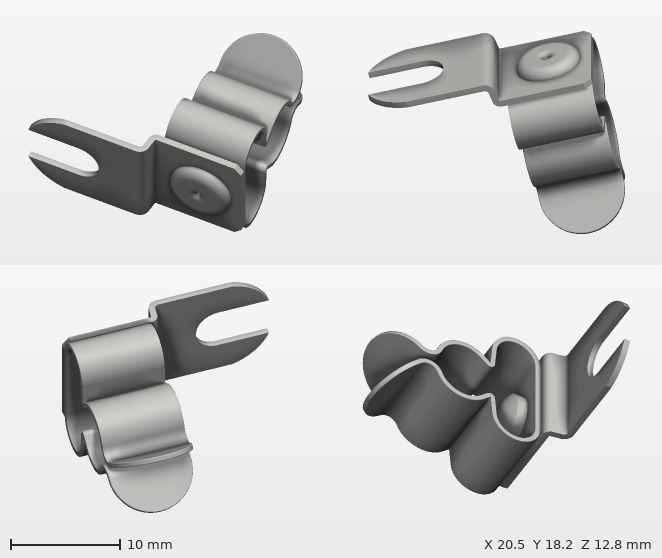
import cadquery as cq
import math


rivet_radius = 2.5
rivet_head_radius = 3.0
rivet_head_height = 1.0
rivet_dimple_radius = 1.0
rivet_tail_length = 1.03
rivet_dome_height = 0.86

lug_thickness = 0.6
lug_width = 10.0
lug_length = 20.52
lug_end_x = 4.0
lug_corner_chamfer = 0.7
lug_offset = 2.52
upper_bend_x = -4.51
upper_bend_inner_radius = 0.15
lower_bend_inner_radius = 0.37
web_angle = 82.0

slot_width = 4.17
slot_end_x = -9.44
fork_tip_radius = 5.1

clip_thickness = 0.5
clip_width = 7.98
clip_center_x = -0.02
clip_height = 12.8
clip_depth = 15.68
loop_radius = 2.5
kink_y = 5.17
kink_z = 2.18
grip_radius = 3.0
grip_y = 7.84
grip_top_z = 3.5
throat_bend_radius = 1.03
throat_gap = 0.78
tip_slope = 38.7
clip_edge_fillet = 0.08

rivet_dimple_depth = rivet_dimple_radius
lug_start_x = lug_end_x - lug_length


def polar(center, radius, degrees):
    """Point at the given radius and angle around a center."""
    angle = math.radians(degrees)
    return (center[0] + radius * math.cos(angle), center[1] + radius * math.sin(angle))


def arc_points(center, radius, start, end):
    """Middle and end points of an arc between two angles."""
    return polar(center, radius, (start + end) / 2), polar(center, radius, end)


def tangent_angle(point, center, radius, side):
    """Angle, around the circle's center, where a tangent from the point touches it."""
    dx = point[0] - center[0]
    dy = point[1] - center[1]
    spread = math.degrees(math.acos(radius / math.hypot(dx, dy)))
    return math.degrees(math.atan2(dy, dx)) + side * spread


def make_rivet():
    head_base = -lug_thickness
    head_face = head_base - rivet_head_height
    rim_center = (rivet_head_radius - rivet_head_height, head_base)
    dimple_center = (rivet_dimple_radius, head_face + rivet_dimple_depth)
    tail_end = clip_thickness + rivet_tail_length
    dome_top = tail_end + rivet_dome_height
    dome_radius = (rivet_radius**2 + rivet_dome_height**2) / (2 * rivet_dome_height)
    dome_half_angle = math.degrees(math.asin(rivet_radius / dome_radius))
    dome_middle = polar((0, dome_top - dome_radius), dome_radius, 90 - dome_half_angle / 2)
    return (
        cq.Workplane("XY")
        .moveTo(0, dimple_center[1])
        .threePointArc(polar(dimple_center, rivet_dimple_radius, 225), (rivet_dimple_radius, head_face))
        .lineTo(rim_center[0], head_face)
        .threePointArc(polar(rim_center, rivet_head_height, -45), (rivet_head_radius, head_base))
        .lineTo(rivet_radius, head_base)
        .lineTo(rivet_radius, tail_end)
        .threePointArc(dome_middle, (0, dome_top))
        .close()
        .revolve(360, (0, 0, 0), (0, 1, 0))
    )


def cut_rivet_hole(body):
    hole = cq.Workplane("XZ", origin=(0, clip_thickness, 0)).circle(rivet_radius)
    return body.cut(hole.extrude(clip_thickness + lug_thickness))


def lug_bent_strip():
    """Flat plate, web and fork blade, as one bent strip of constant thickness."""
    upper_outer = upper_bend_inner_radius + lug_thickness
    lower_outer = lower_bend_inner_radius + lug_thickness
    upper_center = (upper_bend_x, -upper_outer)
    lower_y = -lug_offset + lower_outer
    slope = math.radians(web_angle)
    rise = upper_center[1] - lower_y
    run = (lower_bend_inner_radius + upper_outer + rise * math.cos(slope)) / math.sin(slope)
    lower_center = (upper_bend_x - run, lower_y)
    upper_start = web_angle + 90
    lower_end = web_angle - 90
    return (
        cq.Workplane("XY")
        .moveTo(lug_start_x, -lug_offset)
        .lineTo(lower_center[0], -lug_offset)
        .threePointArc(*arc_points(lower_center, lower_outer, -90, lower_end))
        .lineTo(*polar(upper_center, upper_bend_inner_radius, upper_start))
        .threePointArc(*arc_points(upper_center, upper_bend_inner_radius, upper_start, 90))
        .lineTo(lug_end_x, -lug_thickness)
        .lineTo(lug_end_x, 0)
        .lineTo(upper_bend_x, 0)
        .threePointArc(*arc_points(upper_center, upper_outer, 90, upper_start))
        .lineTo(*polar(lower_center, lower_bend_inner_radius, lower_end))
        .threePointArc(*arc_points(lower_center, lower_bend_inner_radius, lower_end, -90))
        .lineTo(lug_start_x, -lug_offset + lug_thickness)
        .close()
        .extrude(lug_width / 2, both=True)
    )


def lug_outline():
    """Plan of the lug, with its arched fork end and open slot, as a block to intersect with."""
    half_width = lug_width / 2
    half_slot = slot_width / 2
    slot_center = (slot_end_x - half_slot, 0)
    arch_center_x = lug_start_x + math.sqrt(fork_tip_radius**2 - half_slot**2)
    arch_end_x = arch_center_x - math.sqrt(fork_tip_radius**2 - half_width**2)
    return (
        cq.Workplane("XZ")
        .moveTo(lug_start_x, half_slot)
        .radiusArc((arch_end_x, half_width), fork_tip_radius)
        .lineTo(lug_end_x - lug_corner_chamfer, half_width)
        .lineTo(lug_end_x, half_width - lug_corner_chamfer)
        .lineTo(lug_end_x, lug_corner_chamfer - half_width)
        .lineTo(lug_end_x - lug_corner_chamfer, -half_width)
        .lineTo(arch_end_x, -half_width)
        .radiusArc((lug_start_x, -half_slot), fork_tip_radius)
        .lineTo(slot_center[0], -half_slot)
        .threePointArc((slot_end_x, 0), (slot_center[0], half_slot))
        .close()
        .extrude(lug_offset)
    )


def make_lug():
    return cut_rivet_hole(lug_bent_strip().intersect(lug_outline()))


def tip_waste(tip_corner, tip_normal):
    """Material outside the full round of the tip, cut square to the sloping tip."""
    half_width = clip_width / 2
    round_center = polar(tip_corner, -half_width, tip_slope)
    normal = polar((0, 0), 1, tip_normal)
    tip_plane = cq.Plane(
        origin=(clip_center_x, *round_center), xDir=(1, 0, 0), normal=(0, *normal)
    )
    return (
        cq.Workplane(tip_plane)
        .moveTo(-half_width, 0)
        .threePointArc((0, half_width), (half_width, 0))
        .lineTo(half_width, clip_width)
        .lineTo(-half_width, clip_width)
        .close()
        .extrude(clip_thickness * 2, both=True)
    )


def make_clip():
    kink = (kink_y, kink_z)
    loop = (loop_radius, clip_height / 2 - loop_radius)
    grip = (grip_y, grip_top_z - grip_radius)
    throat_z = throat_gap / 2 + clip_thickness + throat_bend_radius
    throat_normal = math.degrees(math.asin((throat_z - grip[1]) / (grip_radius + throat_bend_radius)))
    throat = polar(grip, grip_radius + throat_bend_radius, throat_normal)
    leg_normal = tangent_angle(kink, loop, loop_radius, 1)
    shoulder_normal = tangent_angle(kink, grip, grip_radius, -1) % 360
    tip_normal = tip_slope + 90
    loop_inner = loop_radius - clip_thickness
    kink_inner = -clip_thickness
    grip_inner = grip_radius - clip_thickness
    throat_outer = -throat_bend_radius
    throat_inner = throat_outer - clip_thickness

    tip_start = polar(throat, throat_inner, tip_normal)
    tip_length = (clip_depth - tip_start[0]) / math.cos(math.radians(tip_slope))
    tip_inner = polar(tip_start, tip_length, tip_slope)
    tip_outer = polar(tip_inner, clip_thickness, tip_normal)

    half_width = clip_width / 2
    half = (
        cq.Workplane("YZ", origin=(clip_center_x, 0, 0))
        .lineTo(*polar(loop, loop_radius, 180))
        .threePointArc(*arc_points(loop, loop_radius, 180, leg_normal))
        .lineTo(*kink)
        .lineTo(*polar(grip, grip_radius, shoulder_normal))
        .threePointArc(*arc_points(grip, grip_radius, shoulder_normal, throat_normal))
        .threePointArc(*arc_points(throat, throat_outer, throat_normal, tip_normal))
        .lineTo(*tip_outer)
        .lineTo(*tip_inner)
        .lineTo(*tip_start)
        .threePointArc(*arc_points(throat, throat_inner, tip_normal, throat_normal))
        .threePointArc(*arc_points(grip, grip_inner, throat_normal, shoulder_normal))
        .lineTo(*polar(kink, kink_inner, shoulder_normal))
        .threePointArc(*arc_points(kink, kink_inner, shoulder_normal, leg_normal))
        .lineTo(*polar(loop, loop_inner, leg_normal))
        .threePointArc(*arc_points(loop, loop_inner, leg_normal, 180))
        .lineTo(clip_thickness, 0)
        .close()
        .extrude(half_width, both=True)
    )

    half = half.cut(tip_waste(tip_inner, tip_normal))

    loop_edge = (clip_center_x + half_width, 0, loop[1] / 2)
    for seed in [(clip_center_x, *tip_inner), (clip_center_x, *tip_outer), loop_edge]:
        half = half.edges(cq.NearestToPointSelector(seed)).fillet(clip_edge_fillet)

    return cut_rivet_hole(half.union(half.mirror("XY")).clean())


rivet = make_rivet()
lug = make_lug()
clip = make_clip()

result = cq.Compound.makeCompound([lug.solids().val(), clip.solids().val(), rivet.val()])